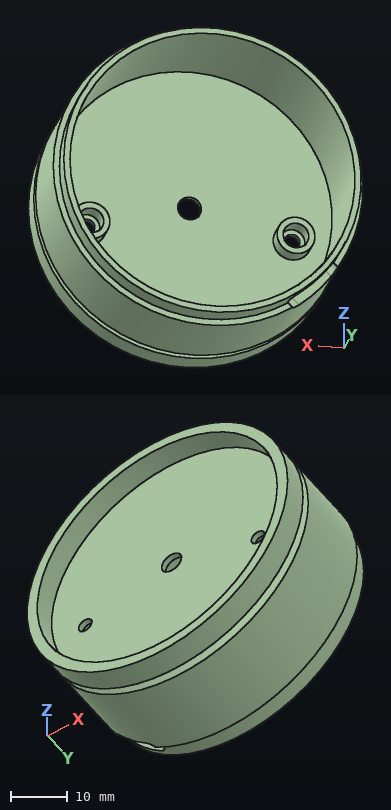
import cadquery as cq

length = 25.4
body_radius = 27.95
spigot_radius = 26.8
bore_radius = 25.7

groove_start = 4.8
groove_end = 6.4
groove_depth = 1.1
shoulder = 21.7
recess_depth = 4.45
floor_thickness = 1.25

center_hole_diameter = 4.2
side_hole_diameter = 2.8
socket_diameter = 4.6
socket_wall = 1.1
socket_height = 3.35
side_hole_x = 18.5
side_hole_z = -4.9

slot_length = 11.9
slot_width = 3.7
slot_y = 22.4
slot_angle = 45.0


def cylinder_y(diameter, start, end, x=0, z=0):
    """Cylinder parallel to Y between two Y positions."""
    return cq.Workplane("XZ", origin=(x, start, z)).circle(diameter / 2).extrude(start - end)


def make_body():
    """Turned outside shape with the tapered groove and the rear spigot."""
    groove_radius = body_radius - groove_depth
    profile = [
        (0, 0),
        (body_radius, 0),
        (body_radius, groove_start),
        (groove_radius, groove_start),
        (body_radius, groove_end),
        (body_radius, shoulder),
        (spigot_radius, shoulder),
        (spigot_radius, length),
        (0, length),
    ]
    return cq.Workplane("XY").polyline(profile).close().revolve(360, (0, 0), (0, 1))


def make_slot():
    """Round-ended radial slot, cut through the lower -X wall only."""
    slot = (
        cq.Workplane("YZ", origin=(0, slot_y, 0))
        .slot2D(slot_length, slot_width, 90)
        .extrude(-2 * body_radius)
    )
    return slot.rotate((0, 0, 0), (0, 1, 0), -slot_angle)


body = make_body()

floor_rear = recess_depth + floor_thickness
body = body.cut(cylinder_y(2 * bore_radius, 0, recess_depth))
body = body.cut(cylinder_y(2 * bore_radius, floor_rear, length))
body = body.cut(cylinder_y(center_hole_diameter, 0, length))

boss_diameter = socket_diameter + 2 * socket_wall
boss_rear = floor_rear + socket_height
for x in (-side_hole_x, side_hole_x):
    body = body.union(cylinder_y(boss_diameter, recess_depth, boss_rear, x, side_hole_z))
    body = body.cut(cylinder_y(socket_diameter, floor_rear, boss_rear, x, side_hole_z))
    body = body.cut(cylinder_y(side_hole_diameter, recess_depth, floor_rear, x, side_hole_z))

result = body.cut(make_slot())